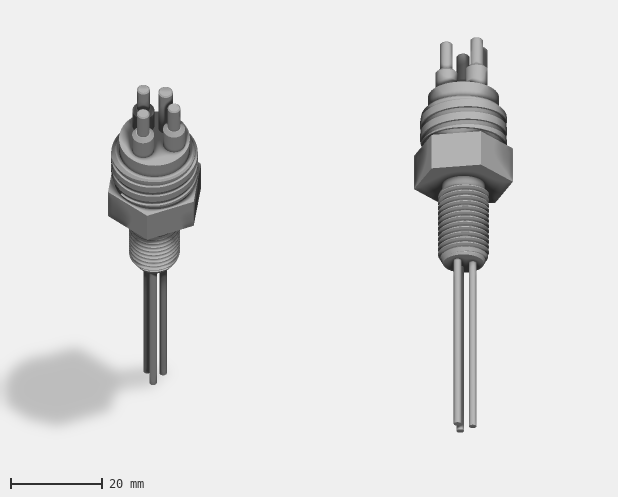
import cadquery as cq
import math

TOTAL_HEIGHT = 93.0
SHANK_BOTTOM_Z = 40.0
LOWER_THREAD_TOP_Z = 57.1
HEX_BOTTOM_Z = 59.1
HEX_TOP_Z = 67.2
UPPER_THREAD_BOTTOM_Z = 68.6
UPPER_THREAD_TOP_Z = 76.5
UPPER_BODY_TOP_Z = 76.8
INSERT_TOP_Z = 80.6
COLLAR_TOP_Z = 86.5

HEX_ACROSS_FLATS = 19.0
UPPER_CORE_DIAMETER = 17.9
INSERT_DIAMETER = 15.5
SHANK_DIAMETER = 9.5

UPPER_THREAD_DIAMETER = HEX_ACROSS_FLATS
UPPER_PITCH = 3.1
UPPER_RIDGE_WIDTH = 1.8
UPPER_TIP_DIAMETER = 17.1
UPPER_TIP_HEIGHT = 1.0

LOWER_THREAD_DIAMETER = 11.2
LOWER_THREAD_TURNS = 13.5
LOWER_PITCH = (LOWER_THREAD_TOP_Z - SHANK_BOTTOM_Z) / LOWER_THREAD_TURNS
LOWER_RIDGE_ROOT_WIDTH = 1.1
LOWER_RIDGE_CREST_WIDTH = 0.2
LOWER_TIP_DIAMETER = 8.9
LOWER_TIP_HEIGHT = 2.0

RIDGE_OVERLAP = 0.2

CUT_MARGIN = 0.5

PIN_DIAMETER = 2.8
PIN_CHAMFER = 0.3
COLLAR_DIAMETER = 4.8
COLLAR_CHAMFER = 0.8
COLLARED_PIN_CENTERS = [(-4.3, 1.5), (4.3, 1.5), (0, -4.0)]
BARE_PIN_DIAMETER = 3.2
BARE_PIN_CENTER = (0, 3.9)

WIRE_COUNT = 3
WIRE_DIAMETER = 1.7
WIRE_EMBED_DEPTH = WIRE_DIAMETER
WIRE_CIRCLE_RADIUS = 2.0
FIRST_WIRE_ANGLE = 180.0


def cylinder(diameter, bottom, top, center=(0, 0)):
    """Upright cylinder between two heights."""
    return cq.Workplane("XY", origin=(*center, bottom)).circle(diameter / 2).extrude(top - bottom)


def thread_ridge(core_diameter, outer_diameter, pitch, root_width, crest_width, first_z, height):
    """Right-handed helical ridge that starts on +X with its middle at first_z and climbs by height."""
    core_radius = core_diameter / 2
    root_radius = core_radius - RIDGE_OVERLAP
    flank_slope = (root_width - crest_width) / (outer_diameter / 2 - core_radius)
    sunk_width = root_width + flank_slope * RIDGE_OVERLAP
    path = cq.Workplane(cq.Wire.makeHelix(pitch, height, core_radius)).translate((0, 0, first_z))
    profile = cq.Workplane("XZ").polyline([
        (root_radius, first_z - sunk_width / 2),
        (outer_diameter / 2, first_z - crest_width / 2),
        (outer_diameter / 2, first_z + crest_width / 2),
        (root_radius, first_z + sunk_width / 2),
    ]).close()
    return profile.sweep(path, isFrenet=True)


def tapered_envelope(thread_diameter, tip_diameter, tip_height, tip_z, base_z):
    """Round space wider than a thread, whose cone at tip_z meets the thread crest after tip_height."""
    tip_radius = tip_diameter / 2
    wide_radius = thread_diameter / 2 + CUT_MARGIN
    cone_slope = tip_height / (thread_diameter / 2 - tip_radius)
    cone_height = (wide_radius - tip_radius) * cone_slope
    cone_end_z = tip_z + math.copysign(cone_height, base_z - tip_z)
    half_section = cq.Workplane("XZ").polyline([
        (0, tip_z),
        (tip_radius, tip_z),
        (wide_radius, cone_end_z),
        (wide_radius, base_z),
        (0, base_z),
    ]).close()
    return half_section.revolve(360, (0, 0), (0, 1))


def upper_body():
    """Threaded body above the hexagon, with the insert standing on it."""
    core = cylinder(UPPER_CORE_DIAMETER, HEX_TOP_Z, UPPER_BODY_TOP_Z)
    ridge = thread_ridge(
        UPPER_CORE_DIAMETER, UPPER_THREAD_DIAMETER, UPPER_PITCH, UPPER_RIDGE_WIDTH, UPPER_RIDGE_WIDTH,
        UPPER_THREAD_BOTTOM_Z - UPPER_PITCH,
        UPPER_THREAD_TOP_Z - UPPER_THREAD_BOTTOM_Z + 2 * UPPER_PITCH,
    )
    limits = tapered_envelope(
        UPPER_THREAD_DIAMETER, UPPER_TIP_DIAMETER, UPPER_TIP_HEIGHT, UPPER_BODY_TOP_Z, HEX_TOP_Z)
    ridge_limits = cylinder(
        UPPER_THREAD_DIAMETER + 2 * CUT_MARGIN, UPPER_THREAD_BOTTOM_Z, UPPER_THREAD_TOP_Z)
    insert = cylinder(INSERT_DIAMETER, HEX_TOP_Z, INSERT_TOP_Z)
    return core.union(ridge.intersect(ridge_limits)).intersect(limits).union(insert)


def hexagon():
    """Wrench hexagon with two of its corners on the X axis."""
    height = HEX_TOP_Z - HEX_BOTTOM_Z
    base = cq.Workplane("XY", origin=(0, 0, HEX_BOTTOM_Z))
    across_corners = HEX_ACROSS_FLATS / math.cos(math.pi / 6)
    return base.polygon(6, across_corners).extrude(height)


def lower_shank():
    """Threaded shank below the hexagon, tapered at its lower end."""
    core = cylinder(SHANK_DIAMETER, SHANK_BOTTOM_Z, HEX_BOTTOM_Z)
    ridge = thread_ridge(
        SHANK_DIAMETER, LOWER_THREAD_DIAMETER, LOWER_PITCH, LOWER_RIDGE_ROOT_WIDTH, LOWER_RIDGE_CREST_WIDTH,
        SHANK_BOTTOM_Z - LOWER_PITCH,
        (LOWER_THREAD_TURNS + 2) * LOWER_PITCH,
    )
    limits = tapered_envelope(
        LOWER_THREAD_DIAMETER, LOWER_TIP_DIAMETER, LOWER_TIP_HEIGHT, SHANK_BOTTOM_Z, HEX_BOTTOM_Z)
    ridge_limits = cylinder(LOWER_THREAD_DIAMETER + 2 * CUT_MARGIN, SHANK_BOTTOM_Z, LOWER_THREAD_TOP_Z)
    return core.union(ridge.intersect(ridge_limits)).intersect(limits)


def pin(diameter, center):
    """Chamfered pin rooted inside the insert."""
    return cylinder(diameter, HEX_TOP_Z, TOTAL_HEIGHT, center).faces(">Z").chamfer(PIN_CHAMFER)


def collared_pin(center):
    """Pin with a wider chamfered collar at its foot."""
    collar = cylinder(COLLAR_DIAMETER, HEX_TOP_Z, COLLAR_TOP_Z, center)
    collar = collar.faces(">Z").chamfer(COLLAR_CHAMFER)
    return collar.union(pin(PIN_DIAMETER, center))


def wire(index):
    """One of the equally spaced wires, rooted inside the shank."""
    angle = math.radians(FIRST_WIRE_ANGLE + index * 360 / WIRE_COUNT)
    center = (WIRE_CIRCLE_RADIUS * math.cos(angle), WIRE_CIRCLE_RADIUS * math.sin(angle))
    return cylinder(WIRE_DIAMETER, 0, SHANK_BOTTOM_Z + WIRE_EMBED_DEPTH, center)


result = hexagon().union(upper_body()).union(lower_shank())
result = result.union(pin(BARE_PIN_DIAMETER, BARE_PIN_CENTER))
for pin_center in COLLARED_PIN_CENTERS:
    result = result.union(collared_pin(pin_center))
for wire_index in range(WIRE_COUNT):
    result = result.union(wire(wire_index))